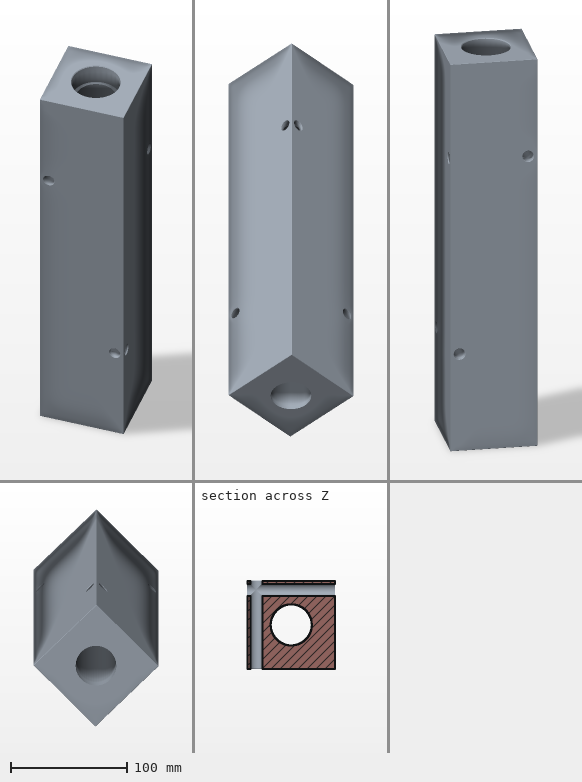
import cadquery as cq

side = 76.2
height = 355.6
edge_break = 0.254

bore_diameter = 35.0
socket_depth = 17.3
socket_mouth_diameter = 42.164
socket_taper = 1 / 16
socket_floor_diameter = socket_mouth_diameter - socket_taper * socket_depth
socket_chamfer = 0.65

cross_hole_diameter = 9.65
cross_hole_chamfer = 0.4
cross_hole_offset = 30.0
cross_hole_height = height / 4


def make_block():
    return cq.Workplane("XY").box(side, side, height).edges().chamfer(edge_break)


def make_bore():
    """Revolved cutter for the through bore, the tapered socket and its rim chamfer."""
    top = height / 2
    bore_radius = bore_diameter / 2
    mouth_radius = socket_mouth_diameter / 2
    floor = top - socket_depth
    return (
        cq.Workplane("XZ")
        .moveTo(0, -top)
        .lineTo(bore_radius, -top)
        .lineTo(bore_radius, floor)
        .lineTo(socket_floor_diameter / 2, floor)
        .lineTo(mouth_radius, top - socket_chamfer)
        .lineTo(mouth_radius + socket_chamfer, top)
        .lineTo(0, top)
        .close()
        .revolve(360, (0, 0), (0, 1))
    )


def make_cross_holes(plane, upper_sign):
    """Cutter for two through holes normal to the plane, at diagonally opposite corners.

    upper_sign is the side of the block's centre line on which the upper hole lies.
    """
    centres = [
        (end * upper_sign * cross_hole_offset, end * cross_hole_height)
        for end in (1, -1)
    ]
    return (
        cq.Workplane(plane)
        .pushPoints(centres)
        .circle(cross_hole_diameter / 2)
        .extrude(side / 2, both=True)
    )


def chamfer_cross_holes(body):
    """Chamfer the hole rims on the four side faces."""
    for face in ("<X", ">X", "<Y", ">Y"):
        body = body.faces(face).edges("%CIRCLE").chamfer(cross_hole_chamfer)
    return body


drilled_block = (
    make_block()
    .cut(make_bore())
    .cut(make_cross_holes("XZ", -1))
    .cut(make_cross_holes("YZ", 1))
)
result = chamfer_cross_holes(drilled_block)